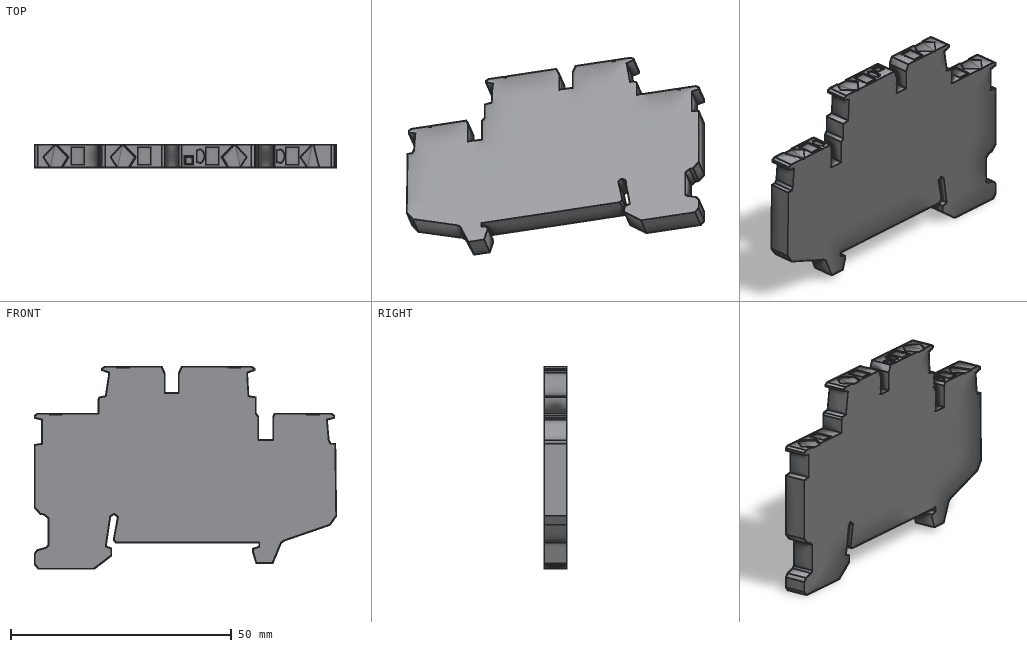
import cadquery as cq

LENGTH = 68.4
THICKNESS = 5.2
HEIGHT = 45.85
MID_Y = THICKNESS / 2

UPPER_DECK_Z = HEIGHT
LOWER_DECK_Z = 35.2
DECK_PITCH_X = 15.25
UPPER_LEFT_TIP_X = DECK_PITCH_X
UPPER_RIGHT_TIP_X = 49.85
LOWER_RIGHT_TIP_X = 67.95
UPPER_STEP_LEFT_X = 14.45
UPPER_STEP_RIGHT_X = 50.15
UPPER_STEP_Z = 38.9
LOWER_STEP_Z = 28.1
STEP_RISE = 0.25
UPPER_STEP_LENGTH = 1.65
UPPER_STEP_BEVEL_X = 0.25
UPPER_STEP_BEVEL_Z = 0.55

LIP_BEVEL = 0.7
LIP_TIP_TOP = 0.45
UPPER_LIP_TIP_BOTTOM = 0.8
LOWER_LIP_TIP_BOTTOM = 1.0
LIP_ROOT = 1.4
LIP_OVERHANG = 1.65

SLOT_DEPTH = 5.95
UPPER_SLOT_LEFT_X = 29.5
UPPER_SLOT_RIGHT_X = 32.65
UPPER_SLOT_FLARE_X = 0.7
UPPER_SLOT_FLARE_Z = 1.6
LOWER_SLOT_LEFT_X = 50.75
LOWER_SLOT_RIGHT_X = 54.05
LOWER_SLOT_FLARE_X = 0.4
LOWER_SLOT_FLARE_Z = 0.75

LEFT_SIDE_BOTTOM_Z = 13.85
RIGHT_SIDE_TOP_X = 68.2
RIGHT_SIDE_BOTTOM_Z = 12.0
RIGHT_NECK_BEVEL = [(66.7, 29.15), (67.1, 28.4)]
BASE_Z = 5.95

CLIP_TOE = [(0.85, 0), (0, 1.0), (0, 3.45), (0.65, 4.25)]
CLIP_WAIST_X = 3.1
CLIP_WAIST_BOTTOM_Z = 5.3
CLIP_WAIST_TOP_Z = 11.5
CLIP_WAIST_BEVEL = 0.5
CLIP_SHOULDER = [(2.1, 12.3), (1.3, 12.4)]
CLIP_NOSE_X = 17.4
CLIP_NOSE_TOP_Z = 4.6
CLIP_NOSE_BOTTOM_Z = 3.0
CLIP_BOTTOM_END_X = 13.5

SLIT_MOUTH_LEFT = (16.15, 5.1)
SLIT_MOUTH_RIGHT = (17.9, 6.55)
SLIT_MOUTH_BEVEL_X = 0.5
SLIT_END = [(18.85, 11.75), (18.0, 12.45), (17.15, 11.85)]

UNDERSIDE_SLOPE = [(66.95, 9.95), (56.65, 6.4), (55.9, 5.9)]
HOOK_BOTTOM_Z = 1.25
HOOK_BOTTOM_LEFT_X = 50.25
HOOK_BOTTOM_RIGHT_X = 53.95
HOOK_TIP_X = 49.5
HOOK_TIP_BOTTOM_Z = 3.8
HOOK_TIP_TOP_Z = 4.55
HOOK_ROOT_X = 50.9
HOOK_ROOT_Z = 5.0

TO_RIGHT = 1
TO_LEFT = -1

RECESS_DEPTH = 0.25
WINDOW_LENGTH = 2.95
WINDOW_WIDTH = 3.95
WINDOW_SHIFT_X = 0.2
LOWER_LEFT_WINDOW_X = 8.3
UPPER_LEFT_WINDOW_X = LOWER_LEFT_WINDOW_X + DECK_PITCH_X - WINDOW_SHIFT_X
UPPER_RIGHT_WINDOW_X = 38.8
LOWER_RIGHT_WINDOW_X = 56.95

DIAMOND_LENGTH = 5.75
DIAMOND_CORNER_Y = 2.4
DIAMOND_FLOOR_PEAK = 2.65
DIAMOND_PEAK = 3.0
DIAMOND_FOLD = 1.55
DIAMOND_FRONT_END = 4.3
DIAMOND_WALL_DRAFT = 0.2
STRAIGHT_WALL = [(DIAMOND_PEAK, THICKNESS), (DIAMOND_FRONT_END, 0)]
CORNERED_WALL = [
    (DIAMOND_PEAK, THICKNESS),
    (DIAMOND_LENGTH, DIAMOND_CORNER_Y),
    (DIAMOND_FRONT_END, 0),
]
LOWER_LEFT_DIAMOND_X = 1.95
UPPER_LEFT_DIAMOND_X = LOWER_LEFT_DIAMOND_X + DECK_PITCH_X
UPPER_RIGHT_DIAMOND_X = 48.1
LOWER_RIGHT_DIAMOND_X = 60.25

TEST_OFFSET_X = 2.1
TEST_PEAK = 0.9
TEST_LENGTH = 1.8
TEST_FLAT_HALF_WIDTH = 1.3
TEST_HALF_WIDTH = 1.6

SQUARE_SIZE = 2.0
SQUARE_CENTER_X = 34.97
SQUARE_CENTER_Y = 1.65
SQUARE_DRAFT = 0.25


def lip(tip_x, deck_z, tip_bottom, inward):
    """Lip points from the neck up to the deck; inward is the direction away from the tip."""
    return [
        (tip_x + inward * LIP_OVERHANG, deck_z - LIP_ROOT),
        (tip_x, deck_z - tip_bottom),
        (tip_x, deck_z - LIP_TIP_TOP),
        (tip_x + inward * LIP_BEVEL, deck_z),
    ]


def slot(left_x, right_x, deck_z, left_mouth, flare_x, flare_z):
    """Slot points from the left mouth corner to the right one."""
    floor_z = deck_z - SLOT_DEPTH
    return [
        left_mouth,
        (left_x, deck_z - flare_z),
        (left_x, floor_z),
        (right_x, floor_z),
        (right_x, deck_z - flare_z),
        (right_x + flare_x, deck_z),
    ]


def left_points():
    """Rail clip and left side, from the clip's toe up to the upper left step."""
    waist = [
        (CLIP_WAIST_X - CLIP_WAIST_BEVEL, CLIP_WAIST_BOTTOM_Z - CLIP_WAIST_BEVEL),
        (CLIP_WAIST_X, CLIP_WAIST_BOTTOM_Z),
        (CLIP_WAIST_X, CLIP_WAIST_TOP_Z),
    ]
    clip = CLIP_TOE + waist + CLIP_SHOULDER
    lower_step = [
        (0, LEFT_SIDE_BOTTOM_Z),
        (0, LOWER_STEP_Z),
        (LIP_OVERHANG, LOWER_STEP_Z + STEP_RISE),
    ]
    upper_step = [
        (UPPER_STEP_LEFT_X, LOWER_DECK_Z),
        (UPPER_STEP_LEFT_X, UPPER_STEP_Z - UPPER_STEP_BEVEL_Z),
        (UPPER_STEP_LEFT_X + UPPER_STEP_BEVEL_X, UPPER_STEP_Z),
        (UPPER_STEP_LEFT_X + UPPER_STEP_LENGTH, UPPER_STEP_Z + STEP_RISE),
    ]
    return clip + lower_step + lip(0, LOWER_DECK_Z, LOWER_LIP_TIP_BOTTOM, TO_RIGHT) + upper_step


def top_points():
    """Upper decks and the lower right deck with the slots between them."""
    upper_slot = slot(
        UPPER_SLOT_LEFT_X, UPPER_SLOT_RIGHT_X, UPPER_DECK_Z,
        (UPPER_SLOT_LEFT_X - UPPER_SLOT_FLARE_X, UPPER_DECK_Z),
        UPPER_SLOT_FLARE_X, UPPER_SLOT_FLARE_Z,
    )
    upper_step = [
        (UPPER_STEP_RIGHT_X - UPPER_STEP_LENGTH, UPPER_STEP_Z + STEP_RISE),
        (UPPER_STEP_RIGHT_X, UPPER_STEP_Z),
    ]
    lower_slot = slot(
        LOWER_SLOT_LEFT_X, LOWER_SLOT_RIGHT_X, LOWER_DECK_Z,
        (UPPER_STEP_RIGHT_X, LOWER_DECK_Z),
        LOWER_SLOT_FLARE_X, LOWER_SLOT_FLARE_Z,
    )
    return (
        lip(UPPER_LEFT_TIP_X, UPPER_DECK_Z, UPPER_LIP_TIP_BOTTOM, TO_RIGHT)
        + upper_slot
        + lip(UPPER_RIGHT_TIP_X, UPPER_DECK_Z, UPPER_LIP_TIP_BOTTOM, TO_LEFT)[::-1]
        + upper_step
        + lower_slot
        + lip(LOWER_RIGHT_TIP_X, LOWER_DECK_Z, LOWER_LIP_TIP_BOTTOM, TO_LEFT)[::-1]
    )


def bottom_points():
    """Right side, rail hook, flat base, spring slit and the clip's nose."""
    right_side = RIGHT_NECK_BEVEL + [
        (RIGHT_SIDE_TOP_X, LOWER_STEP_Z + STEP_RISE),
        (LENGTH, RIGHT_SIDE_BOTTOM_Z),
    ]
    hook = UNDERSIDE_SLOPE + [
        (HOOK_BOTTOM_RIGHT_X, HOOK_BOTTOM_Z),
        (HOOK_BOTTOM_LEFT_X, HOOK_BOTTOM_Z),
        (HOOK_TIP_X, HOOK_TIP_BOTTOM_Z),
        (HOOK_TIP_X, HOOK_TIP_TOP_Z),
        (HOOK_ROOT_X, HOOK_ROOT_Z),
        (HOOK_ROOT_X, BASE_Z),
    ]
    slit_mouth = [(SLIT_MOUTH_RIGHT[0] + SLIT_MOUTH_BEVEL_X, BASE_Z), SLIT_MOUTH_RIGHT]
    slit = slit_mouth + SLIT_END + [SLIT_MOUTH_LEFT]
    clip_nose = [
        (CLIP_NOSE_X, CLIP_NOSE_TOP_Z),
        (CLIP_NOSE_X, CLIP_NOSE_BOTTOM_Z),
        (CLIP_BOTTOM_END_X, 0),
    ]
    return right_side + hook + slit + clip_nose


def body():
    outline = left_points() + top_points() + bottom_points()
    return cq.Workplane("XZ").polyline(outline).close().extrude(-THICKNESS)


def window(start_x, deck_z):
    return (
        cq.Workplane("XY", origin=(start_x + WINDOW_LENGTH / 2, MID_Y, deck_z))
        .rect(WINDOW_LENGTH, WINDOW_WIDTH)
        .extrude(-RECESS_DEPTH)
    )


def solid_from_faces(faces):
    """Solid bounded by flat faces, each given as a list of corner points."""
    wires = [cq.Wire.makePolygon([cq.Vector(*point) for point in face], close=True) for face in faces]
    shell = cq.Shell.makeShell([cq.Face.makeFromWires(wire) for wire in wires])
    return cq.Workplane(obj=cq.Solid.makeSolid(shell))


def ramp(at):
    """Wedge whose floor rises from the fold line to the shallow corner."""
    corner = at(0, DIAMOND_CORNER_Y, 0)
    peak_top = at(DIAMOND_FLOOR_PEAK, THICKNESS, 0)
    peak_floor = at(DIAMOND_FLOOR_PEAK, THICKNESS, -RECESS_DEPTH)
    fold_top = at(DIAMOND_FOLD, 0, 0)
    fold_floor = at(DIAMOND_FOLD, 0, -RECESS_DEPTH)
    return solid_from_faces(
        [
            [corner, peak_top, fold_top],
            [corner, peak_floor, fold_floor],
            [corner, peak_top, peak_floor],
            [corner, fold_top, fold_floor],
            [peak_top, peak_floor, fold_floor, fold_top],
        ]
    )


def flat_floor(at, wall, wall_draft):
    """Flat-bottomed part; wall holds the (distance, y) top corners of the far wall."""
    fold = [(DIAMOND_FOLD, 0), (DIAMOND_FLOOR_PEAK, THICKNESS)]
    rim = [at(distance, y, 0) for distance, y in fold + wall]
    floor_wall = [(distance - wall_draft, y) for distance, y in wall]
    floor = [at(distance, y, -RECESS_DEPTH) for distance, y in fold + floor_wall]
    sides = [[rim[i - 1], rim[i], floor[i], floor[i - 1]] for i in range(len(rim))]
    return solid_from_faces([rim, floor] + sides)


def diamond(corner_x, deck_z, inward, wall, wall_draft):
    """Recess open to the front face: a ramp from the shallow corner, then a flat floor."""

    def at(distance, y, z):
        return (corner_x + inward * distance, y, deck_z + z)

    return ramp(at).union(flat_floor(at, wall, wall_draft))


def test_recess(window_x, deck_z):
    start_x = window_x - TEST_OFFSET_X
    return (
        cq.Workplane("XY", origin=(start_x, MID_Y, deck_z))
        .moveTo(0, -TEST_FLAT_HALF_WIDTH)
        .lineTo(0, TEST_FLAT_HALF_WIDTH)
        .lineTo(TEST_PEAK, TEST_HALF_WIDTH)
        .threePointArc((TEST_LENGTH, 0), (TEST_PEAK, -TEST_HALF_WIDTH))
        .close()
        .extrude(-RECESS_DEPTH)
    )


def square_recess():
    floor_size = SQUARE_SIZE - 2 * SQUARE_DRAFT
    return (
        cq.Workplane("XY", origin=(SQUARE_CENTER_X, SQUARE_CENTER_Y, UPPER_DECK_Z))
        .rect(SQUARE_SIZE, SQUARE_SIZE)
        .workplane(offset=-RECESS_DEPTH)
        .rect(floor_size, floor_size)
        .loft()
    )


recesses = [
    window(LOWER_LEFT_WINDOW_X, LOWER_DECK_Z),
    window(UPPER_LEFT_WINDOW_X, UPPER_DECK_Z),
    window(UPPER_RIGHT_WINDOW_X, UPPER_DECK_Z),
    window(LOWER_RIGHT_WINDOW_X, LOWER_DECK_Z),
    diamond(LOWER_LEFT_DIAMOND_X, LOWER_DECK_Z, TO_RIGHT, CORNERED_WALL, DIAMOND_WALL_DRAFT),
    diamond(UPPER_LEFT_DIAMOND_X, UPPER_DECK_Z, TO_RIGHT, CORNERED_WALL, DIAMOND_WALL_DRAFT),
    diamond(UPPER_RIGHT_DIAMOND_X, UPPER_DECK_Z, TO_LEFT, CORNERED_WALL, DIAMOND_WALL_DRAFT),
    diamond(LOWER_RIGHT_DIAMOND_X, LOWER_DECK_Z, TO_RIGHT, STRAIGHT_WALL, 0),
    test_recess(UPPER_RIGHT_WINDOW_X, UPPER_DECK_Z),
    test_recess(LOWER_RIGHT_WINDOW_X, LOWER_DECK_Z),
    square_recess(),
]

result = body()
for recess in recesses:
    result = result.cut(recess)